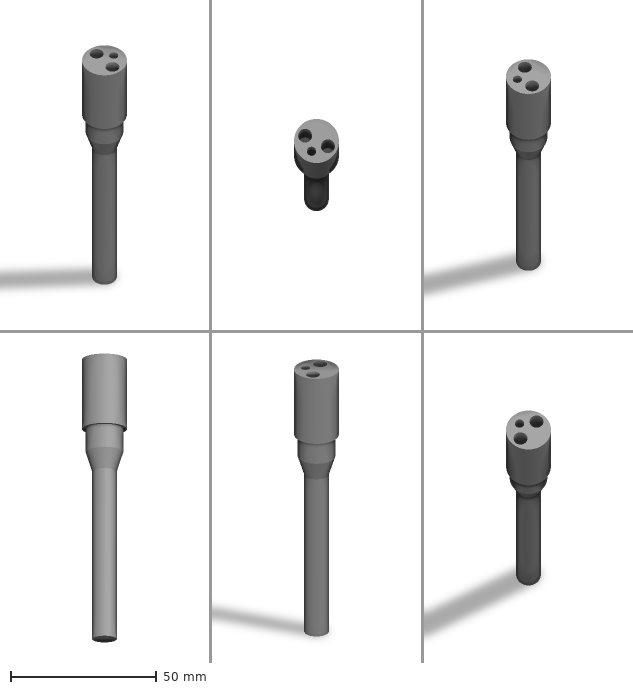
import cadquery as cq

total_length = 100.0
stem_diameter = 8.5
stem_length = 60.0
taper_length = 7.0
collar_diameter = 13.0
collar_length = 8.2
head_diameter = 15.5

large_hole_diameter = 4.8
large_hole_offset = 4.35
small_hole_diameter = 3.2
small_hole_offset = 4.0
hole_depth = 15.0


def make_body():
    """Revolve the stepped half profile about the Z axis."""
    stem_radius = stem_diameter / 2
    collar_radius = collar_diameter / 2
    head_radius = head_diameter / 2
    collar_start = stem_length + taper_length
    head_start = collar_start + collar_length
    profile = [
        (0, 0),
        (stem_radius, 0),
        (stem_radius, stem_length),
        (collar_radius, collar_start),
        (collar_radius, head_start),
        (head_radius, head_start),
        (head_radius, total_length),
        (0, total_length),
    ]
    return cq.Workplane("XZ").polyline(profile).close().revolve(360, (0, 0), (0, 1))


def make_holes(centers, diameter):
    """Flat-bottomed cutters that reach down from the end face of the head."""
    end_face = cq.Workplane("XY").workplane(offset=total_length)
    return end_face.pushPoints(centers).circle(diameter / 2).extrude(-hole_depth)


large_hole_centers = [(-large_hole_offset, 0), (large_hole_offset, 0)]
small_hole_centers = [(0, small_hole_offset)]

result = make_body()
result = result.cut(make_holes(large_hole_centers, large_hole_diameter))
result = result.cut(make_holes(small_hole_centers, small_hole_diameter))